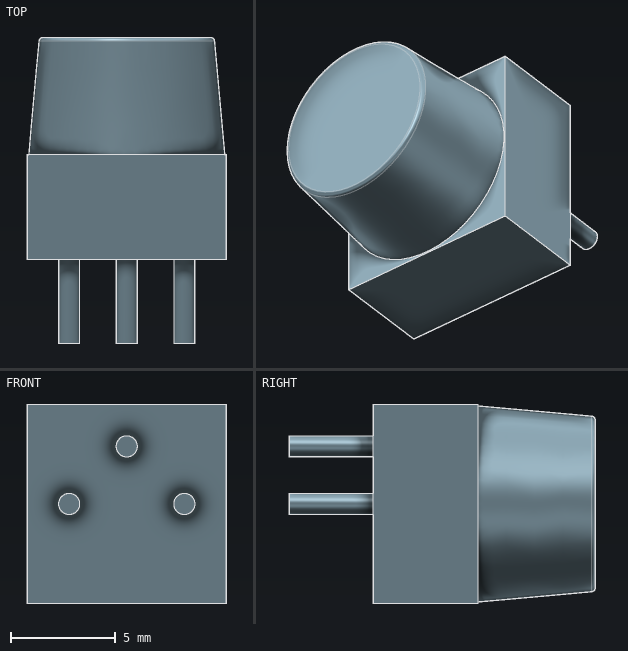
import cadquery as cq

housing_side = 9.5
housing_depth = 5.0

total_length = 14.59
pin_length = 4.0
knob_length = total_length - housing_depth - pin_length
knob_base_diameter = 9.35
knob_end_diameter = 8.35
knob_edge_radius = 0.2

pin_diameter = 1.0
pin_offset = 2.75
pin_positions = [(-pin_offset, 0), (0, pin_offset), (pin_offset, 0)]


def make_housing():
    """Block with its pin face on Y = 0."""
    return cq.Workplane("XY").box(
        housing_side, housing_depth, housing_side, centered=(True, False, True)
    )


def make_knob():
    """Tapered knob with a rounded outer edge."""
    knob_end = housing_depth + knob_length
    knob = (
        cq.Workplane("XY")
        .moveTo(0, housing_depth)
        .lineTo(knob_base_diameter / 2, housing_depth)
        .lineTo(knob_end_diameter / 2, knob_end)
        .lineTo(0, knob_end)
        .close()
        .revolve(360, (0, 0, 0), (0, 1, 0))
    )
    return knob.faces(">Y").edges().fillet(knob_edge_radius)


def make_pins():
    """Three round pins on the back face of the housing."""
    return (
        cq.Workplane("XZ")
        .pushPoints(pin_positions)
        .circle(pin_diameter / 2)
        .extrude(pin_length)
    )


result = make_housing().union(make_knob()).union(make_pins())